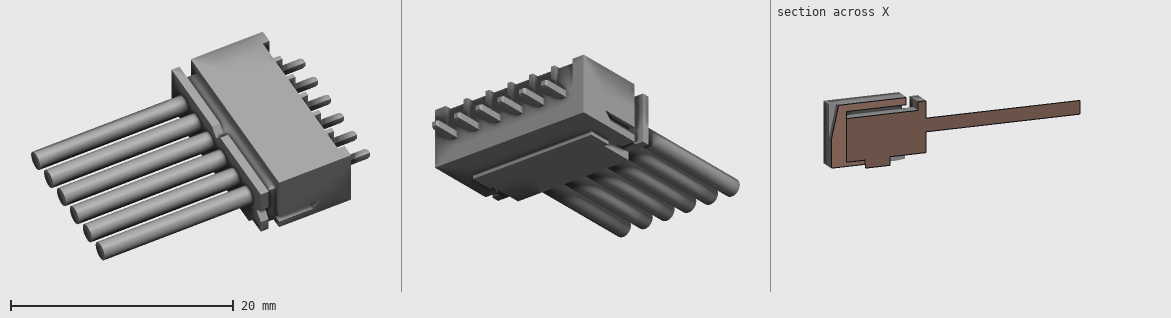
import cadquery as cq

CUT_MARGIN = 1.0

CONTACT_COUNT = 6
CONTACT_PITCH = 2.5
contact_xs = [(i - (CONTACT_COUNT - 1) / 2) * CONTACT_PITCH for i in range(CONTACT_COUNT)]

PLUG_WIDTH = 15.7
PLUG_BOTTOM_Z = 0.8
PLUG_TOP_Z = 4.87
FLANGE_WIDTH = 17.3
FLANGE_THICKNESS = 0.8
FLANGE_TOP_Z = 5.68
FLANGE_GAP = 1.1
TONGUE_WIDTH = 12.72
TONGUE_HEAD_WIDTH = 13.65
TONGUE_HEAD_LENGTH = 2.44
TONGUE_TIP_Y = -3.29
CABLE_DIAMETER = 1.75
CABLE_LENGTH = 15.0
CABLE_Z = 3.4

HEADER_WIDTH = 17.1
HEADER_LENGTH = 7.3
HEADER_BOTTOM_Z = 0.36
HEADER_TOP_Z = 6.2
CEILING_THICKNESS = 0.72
REAR_WALL = 1.5
MOUTH_WIDTH = 14.28
MOUTH_TAPER_LENGTH = 1.05
SLOT_BOTTOM_Z = 1.08
SLOT_HEIGHT = 0.77
SLOT_LENGTH = 4.18
RAMP_WIDTH = 2.04
RAMP_DEPTH = 0.68

PIN_WIDTH = 0.65
PIN_Z = 2.85
PIN_LENGTH = 2.97
PIN_TIP_LENGTH = 0.27
PIN_TIP_TAPER = 20.0

mouth_y = -HEADER_LENGTH
cavity_rear_y = -REAR_WALL
ceiling_z = HEADER_TOP_Z - CEILING_THICKNESS
flange_rear_y = mouth_y - FLANGE_GAP
flange_front_y = flange_rear_y - FLANGE_THICKNESS
tongue_neck_y = TONGUE_TIP_Y - TONGUE_HEAD_LENGTH
pin_top_z = PIN_Z + PIN_WIDTH / 2


def block(width, y_range, z_range):
    """Box centred on x = 0 that spans the given y and z ranges."""
    y_low, y_high = y_range
    z_low, z_high = z_range
    return (
        cq.Workplane("XY", origin=(0, (y_low + y_high) / 2, z_low))
        .box(width, y_high - y_low, z_high - z_low, centered=(True, True, False))
    )


def floor_opening():
    """Floor opening as wide as the tongue head, flared at the mouth."""
    taper_end_y = mouth_y + MOUTH_TAPER_LENGTH
    return (
        cq.Workplane("XY", origin=(0, 0, HEADER_BOTTOM_Z))
        .moveTo(-MOUTH_WIDTH / 2, mouth_y)
        .lineTo(MOUTH_WIDTH / 2, mouth_y)
        .lineTo(TONGUE_HEAD_WIDTH / 2, taper_end_y)
        .lineTo(TONGUE_HEAD_WIDTH / 2, TONGUE_TIP_Y)
        .lineTo(-TONGUE_HEAD_WIDTH / 2, TONGUE_TIP_Y)
        .lineTo(-TONGUE_HEAD_WIDTH / 2, taper_end_y)
        .close()
        .extrude(PLUG_BOTTOM_Z - HEADER_BOTTOM_Z)
    )


def side_slots():
    """Slots open at the mouth with a 45 degree end, cut across both side walls."""
    slot_end_y = mouth_y + SLOT_LENGTH
    slot_top_z = SLOT_BOTTOM_Z + SLOT_HEIGHT
    return (
        cq.Workplane("YZ")
        .moveTo(mouth_y, SLOT_BOTTOM_Z)
        .lineTo(slot_end_y - SLOT_HEIGHT, SLOT_BOTTOM_Z)
        .lineTo(slot_end_y, slot_top_z)
        .lineTo(mouth_y, slot_top_z)
        .close()
        .extrude(HEADER_WIDTH / 2 + CUT_MARGIN, both=True)
    )


def rear_ramp(x):
    """Wedge that cuts a steep ramp from the top face down to the top of one pin."""
    return (
        cq.Workplane("YZ", origin=(x, 0, 0))
        .moveTo(-RAMP_DEPTH, HEADER_TOP_Z)
        .lineTo(0, HEADER_TOP_Z)
        .lineTo(0, pin_top_z)
        .close()
        .extrude(RAMP_WIDTH / 2, both=True)
    )


def pin(x):
    """Square pin with a tapered tip, standing on the rear face."""
    return (
        cq.Workplane("XZ", origin=(x, 0, PIN_Z))
        .rect(PIN_WIDTH, PIN_WIDTH)
        .extrude(-(PIN_LENGTH - PIN_TIP_LENGTH))
        .faces(">Y")
        .wires()
        .toPending()
        .workplane()
        .extrude(PIN_TIP_LENGTH, taper=PIN_TIP_TAPER)
    )


def make_header():
    header = block(HEADER_WIDTH, (mouth_y, 0), (HEADER_BOTTOM_Z, HEADER_TOP_Z))
    header = header.cut(block(PLUG_WIDTH, (mouth_y, cavity_rear_y), (PLUG_BOTTOM_Z, ceiling_z)))
    header = header.cut(floor_opening()).cut(side_slots())
    for x in contact_xs:
        header = header.cut(rear_ramp(x)).union(pin(x))
    return header


def make_flange():
    """Flange with V notches whose points reach the outline of the plug."""
    flange = block(FLANGE_WIDTH, (flange_front_y, flange_rear_y), (PLUG_BOTTOM_Z, FLANGE_TOP_Z))
    top_notch_depth = FLANGE_TOP_Z - PLUG_TOP_Z
    side_notch_depth = (FLANGE_WIDTH - PLUG_WIDTH) / 2
    flange_sketch = cq.Workplane("XZ", origin=(0, flange_rear_y, 0))
    top_notch = (
        flange_sketch
        .moveTo(0, PLUG_TOP_Z)
        .lineTo(top_notch_depth, FLANGE_TOP_Z)
        .lineTo(-top_notch_depth, FLANGE_TOP_Z)
        .close()
        .extrude(FLANGE_THICKNESS)
    )
    side_notch = (
        flange_sketch
        .moveTo(PLUG_WIDTH / 2, PIN_Z)
        .lineTo(FLANGE_WIDTH / 2, PIN_Z - side_notch_depth)
        .lineTo(FLANGE_WIDTH / 2, PIN_Z + side_notch_depth)
        .close()
        .extrude(FLANGE_THICKNESS)
    )
    return flange.cut(top_notch).cut(side_notch)


def make_tongue():
    """Latch tongue below the plug with a wider head that fills the floor opening."""
    stem = block(TONGUE_WIDTH, (flange_front_y, tongue_neck_y), (0, PLUG_BOTTOM_Z))
    head = block(TONGUE_HEAD_WIDTH, (tongue_neck_y, TONGUE_TIP_Y), (0, PLUG_BOTTOM_Z))
    return stem.union(head)


def cable(x):
    return (
        cq.Workplane("XZ", origin=(x, flange_front_y, CABLE_Z))
        .circle(CABLE_DIAMETER / 2)
        .extrude(CABLE_LENGTH)
    )


def make_plug():
    plug = block(PLUG_WIDTH, (flange_rear_y, cavity_rear_y), (PLUG_BOTTOM_Z, PLUG_TOP_Z))
    plug = plug.union(make_flange()).union(make_tongue())
    for x in contact_xs:
        plug = plug.union(cable(x))
    return plug


header = make_header()
plug = make_plug()

result = cq.Compound.makeCompound([*header.solids().vals(), *plug.solids().vals()])